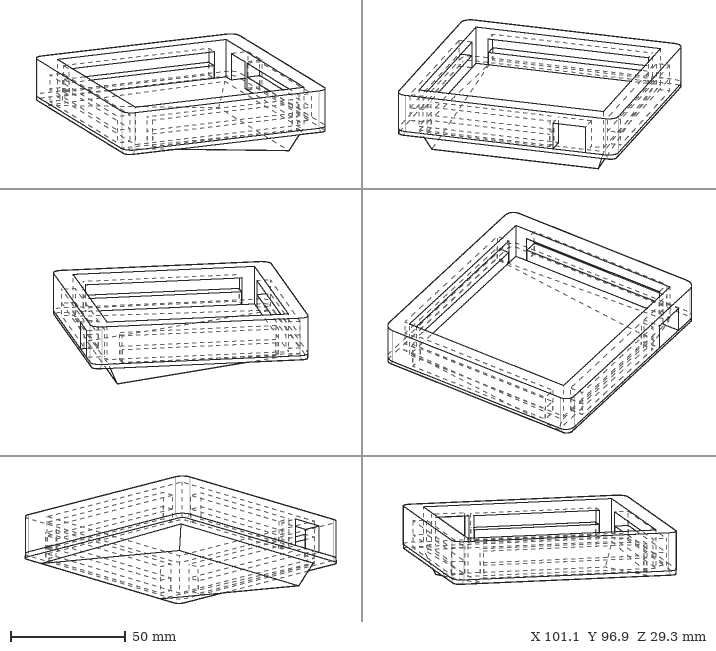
import cadquery as cq

TOTAL_HEIGHT = 29.3
LENGTH = 101.1
WIDTH = 96.9
FRAME_HEIGHT = 17.0
WALL = 8.1
CORNER_RADIUS = 4.4
INNER_LENGTH = LENGTH - 2 * WALL
INNER_WIDTH = WIDTH - 2 * WALL

PLATE_THICKNESS = 2.0
PLATE_INSET = 0.4
PLATE_BOTTOM_RADIUS = 2.9

FOOT_DEPTH = TOTAL_HEIGHT - FRAME_HEIGHT - PLATE_THICKNESS
FOOT_TOP_HALF_LENGTH = 42.5
FOOT_LOW_HALF_LENGTH = 38.3
FOOT_BACK_Y = 39.7
FOOT_LOW_Y = 35.0
FOOT_FRONT_Y = PLATE_INSET - WIDTH / 2

NOTCH_HEIGHT = 12.0
NOTCH_DEPTH = 6.1
NOTCH_MARGIN = 5.6

POST_WIDTH = 2.1
CABLE_LEFT = -INNER_LENGTH / 2 + NOTCH_MARGIN
CABLE_RIGHT = -21.8

BAR_HEIGHT = 5.8
BAR_CLEARANCE = 0.2

SIDE_NOTCH_END = INNER_WIDTH / 2 - NOTCH_MARGIN
NOTCH_X_END = INNER_LENGTH / 2 - NOTCH_MARGIN
BACK_NOTCH_START = CABLE_RIGHT + POST_WIDTH


def block(x_min, x_max, y_min, y_max, height):
    """Box standing on Z = 0 between the given X and Y limits."""
    return cq.Workplane("XY").box(
        x_max - x_min, y_max - y_min, height, centered=False
    ).translate((x_min, y_min, 0))


def wall_blocks(height, clearance):
    """One block per notch, shortened at both ends by the clearance."""
    blocks = []
    x_inner = INNER_LENGTH / 2
    y_inner = INNER_WIDTH / 2
    side_end = SIDE_NOTCH_END - clearance
    for x_min in (x_inner, -x_inner - NOTCH_DEPTH):
        blocks.append(block(x_min, x_min + NOTCH_DEPTH, -side_end, side_end, height))
    x_max = NOTCH_X_END - clearance
    for x_start, y_min in ((BACK_NOTCH_START, y_inner), (-NOTCH_X_END, -y_inner - NOTCH_DEPTH)):
        blocks.append(block(x_start + clearance, x_max, y_min, y_min + NOTCH_DEPTH, height))
    return blocks


def rounded_wire(length, width, radius, z):
    """Closed rounded-rectangle outline at height z."""
    outline = cq.Workplane("XY", origin=(0, 0, z)).rect(length, width).val()
    return outline.fillet2D(radius, outline.Vertices())


def make_frame():
    """Square frame with inner notches and a cable opening."""
    frame = cq.Workplane("XY").box(LENGTH, WIDTH, FRAME_HEIGHT, centered=(True, True, False))
    frame = frame.edges("|Z").fillet(CORNER_RADIUS)
    frame = frame.cut(cq.Workplane("XY").rect(INNER_LENGTH, INNER_WIDTH).extrude(FRAME_HEIGHT))
    for notch in wall_blocks(NOTCH_HEIGHT, 0):
        frame = frame.cut(notch)
    cable_opening = block(CABLE_LEFT, CABLE_RIGHT, INNER_WIDTH / 2, WIDTH / 2, NOTCH_HEIGHT)
    return frame.cut(cable_opening).solids()


def make_plate():
    """Plate whose edge tapers in towards the bottom."""
    bottom = rounded_wire(
        LENGTH - 2 * PLATE_INSET, WIDTH - 2 * PLATE_INSET, PLATE_BOTTOM_RADIUS, -PLATE_THICKNESS
    )
    top = rounded_wire(LENGTH, WIDTH, CORNER_RADIUS, 0)
    return cq.Workplane(cq.Solid.makeLoft([bottom, top], True))


def make_foot():
    """Wedge with a sloping underside, from its four top and two lowest corners."""
    top_z = -PLATE_THICKNESS
    low_z = top_z - FOOT_DEPTH
    back_left, back_right = [
        cq.Vector(side * FOOT_TOP_HALF_LENGTH, FOOT_BACK_Y, top_z) for side in (-1, 1)
    ]
    front_left, front_right = [
        cq.Vector(side * FOOT_LOW_HALF_LENGTH, FOOT_FRONT_Y, top_z) for side in (-1, 1)
    ]
    low_left, low_right = [
        cq.Vector(side * FOOT_LOW_HALF_LENGTH, FOOT_LOW_Y, low_z) for side in (-1, 1)
    ]
    outlines = [
        [back_left, back_right, front_right, front_left],
        [back_left, low_left, low_right, back_right],
        [front_left, front_right, low_right, low_left],
        [back_left, front_left, low_left],
        [back_right, low_right, front_right],
    ]
    faces = [cq.Face.makeFromWires(cq.Wire.makePolygon(points, close=True)) for points in outlines]
    return cq.Workplane(cq.Solid.makeSolid(cq.Shell.makeShell(faces)))


def make_base():
    """Base plate with its foot below and its bars above."""
    base = make_plate().union(make_foot())
    for bar in wall_blocks(BAR_HEIGHT, BAR_CLEARANCE):
        base = base.union(bar)
    return base.solids()


frame = make_frame()
base = make_base()
result = cq.Compound.makeCompound([frame.val(), base.val()])